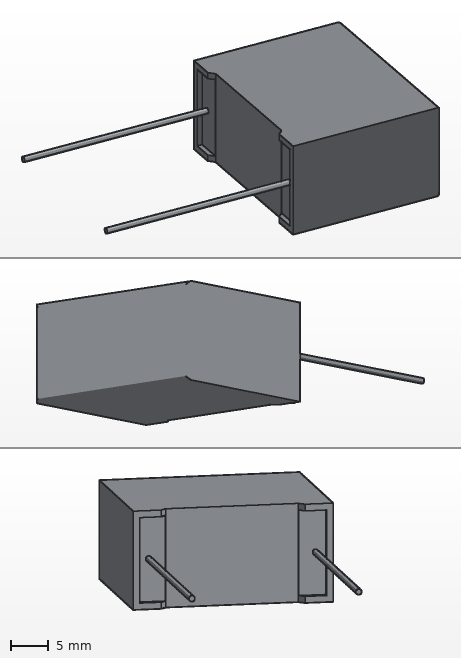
import cadquery as cq

case_length = 27.0
case_depth = 22.3
case_height = 13.3
wall = 0.9
closed_end_round = 0.6

relief_depth = 0.75
relief_floor_length = 17.9
relief_mouth_length = relief_floor_length + 2 * relief_depth

cavity_length = case_length - 2 * wall
cavity_height = case_height - 2 * wall
cavity_back = case_depth - wall
bridge_length = 18.0
bridge_back = relief_depth + wall
window_length = (cavity_length - bridge_length) / 2
window_offset = (bridge_length + window_length) / 2

lead_diameter = 0.8
lead_pitch = 22.5
lead_reach = 27.0

ends = (-1, 1)


def make_block(length, height, front, back, center_x=0):
    """Rectangular block between two y positions, centred on z = 0."""
    block = cq.Workplane("XY").box(length, back - front, height, centered=(True, False, True))
    return block.translate((center_x, front, 0))


def make_filling(window_front):
    """Shape of the hollow: a chamber behind the bridge and a well behind each window."""
    filling = make_block(cavity_length, cavity_height, bridge_back, cavity_back)
    for end in ends:
        well = make_block(window_length, cavity_height, window_front, bridge_back, end * window_offset)
        filling = filling.union(well)
    return filling


def make_relief():
    """Trapezoidal channel running through the full height of the case."""
    half_mouth = relief_mouth_length / 2
    half_floor = relief_floor_length / 2
    return (
        cq.Workplane("XY")
        .moveTo(-half_mouth, 0)
        .lineTo(half_mouth, 0)
        .lineTo(half_floor, relief_depth)
        .lineTo(-half_floor, relief_depth)
        .close()
        .extrude(case_height / 2, both=True)
    )


def make_case():
    block = make_block(case_length, case_height, 0, case_depth)
    rounded = block.faces(">Y").edges().fillet(closed_end_round)
    return rounded.cut(make_relief()).cut(make_filling(window_front=0))


def make_potting():
    """Compound filling the hollow, level with the relief floor."""
    return make_filling(window_front=relief_depth)


def make_lead(end):
    lead = cq.Workplane("XZ").circle(lead_diameter / 2).extrude(lead_reach + relief_depth)
    return lead.translate((end * lead_pitch / 2, relief_depth, 0))


case = make_case()
potting = make_potting()
leads = [make_lead(end) for end in ends]

result = cq.Compound.makeCompound([case.val(), potting.val(), *[lead.val() for lead in leads]])